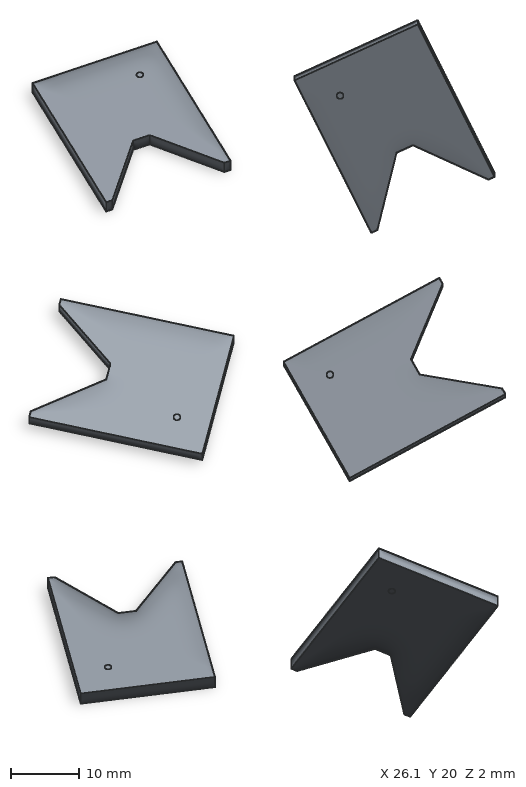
import cadquery as cq

LENGTH = 26.08
WIDTH = 20.0
THICKNESS = 2.0

NOTCH_FLOOR_X = 16.53
NOTCH_FLOOR_WIDTH = 2.65
TIP_WIDTH = 1.0

PIN_DIAMETER = 1.0
PIN_EDGE_DISTANCE = 5.0
PIN_X = PIN_EDGE_DISTANCE
PIN_Y = WIDTH - PIN_EDGE_DISTANCE


def make_pin():
    """Round pin running through the full plate thickness."""
    return cq.Workplane("XY").center(PIN_X, PIN_Y).circle(PIN_DIAMETER / 2).extrude(THICKNESS)


def make_plate():
    """Flat plate with a notched end and a hole that fits the pin."""
    floor_low = (WIDTH - NOTCH_FLOOR_WIDTH) / 2
    floor_high = floor_low + NOTCH_FLOOR_WIDTH
    outline = [
        (0, 0),
        (LENGTH, 0),
        (LENGTH, TIP_WIDTH),
        (NOTCH_FLOOR_X, floor_low),
        (NOTCH_FLOOR_X, floor_high),
        (LENGTH, WIDTH - TIP_WIDTH),
        (LENGTH, WIDTH),
        (0, WIDTH),
    ]
    blank = cq.Workplane("XY").polyline(outline).close().extrude(THICKNESS)
    return blank.cut(make_pin())


plate = make_plate()
pin = make_pin()

result = cq.Compound.makeCompound([plate.val(), pin.val()])